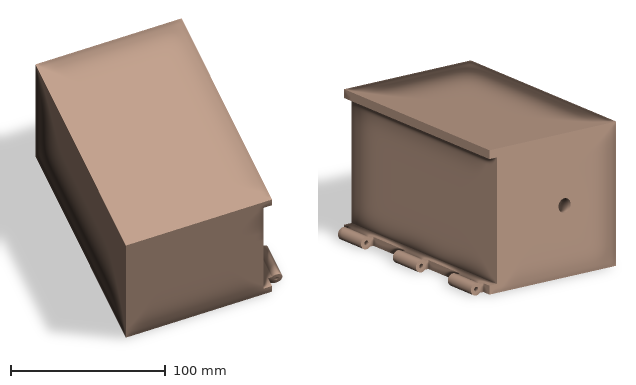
import cadquery as cq

box_width = 158.2
box_depth = 101.4
box_height = 98.0

lip_thickness = 6.0
step_depth = 6.0

hinge_count = 3
hinge_width = 25.2
hinge_pitch = 59.8
hinge_reach = 10.0
knuckle_radius = 4.3
pin_diameter = 3.2

side_hole_diameter = 9.7
side_hole_depth = side_hole_diameter
side_hole_from_front = 41.3


def make_box():
    """Solid box whose back face is stepped in between the two lips."""
    body = cq.Workplane("XY").box(box_width, box_depth, box_height, centered=(True, False, False))
    step = (
        cq.Workplane("XY", origin=(0, box_depth - step_depth, lip_thickness))
        .box(box_width, step_depth, box_height - 2 * lip_thickness, centered=(True, False, False))
    )
    return body.cut(step)


def make_hinge(center_x):
    """Flat leaf carried on from the bottom lip, ending in a bored round knuckle."""
    pin_y = box_depth + hinge_reach - knuckle_radius
    pin_z = lip_thickness / 2
    leaf = (
        cq.Workplane("XY", origin=(center_x, box_depth - step_depth, 0))
        .box(hinge_width, pin_y - box_depth + step_depth, lip_thickness, centered=(True, False, False))
    )
    pin_axis = cq.Workplane("YZ", origin=(center_x, pin_y, pin_z))
    knuckle = pin_axis.circle(knuckle_radius).extrude(hinge_width / 2, both=True)
    bore = pin_axis.circle(pin_diameter / 2).extrude(hinge_width / 2, both=True)
    return leaf.union(knuckle).cut(bore)


def make_side_hole():
    """Cylinder reaching inwards from the left side at mid height."""
    return (
        cq.Workplane("YZ", origin=(-box_width / 2, side_hole_from_front, box_height / 2))
        .circle(side_hole_diameter / 2)
        .extrude(side_hole_depth)
    )


result = make_box()
for hinge_index in range(hinge_count):
    hinge_x = (hinge_index - (hinge_count - 1) / 2) * hinge_pitch
    result = result.union(make_hinge(hinge_x))
result = result.cut(make_side_hole())